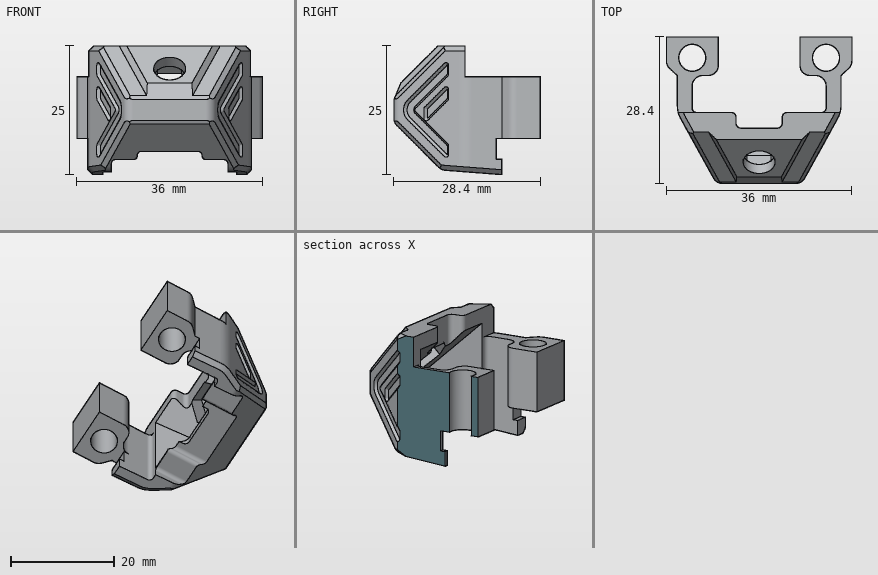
import cadquery as cq
import math


HEIGHT = 25.0
WIDTH = 36.0
DEPTH = 28.4

ARM_OUTER_X = 15.88
ARM_INNER_X = 12.95
ARM_BACK_Y = 19.87
ARM_END_Y = 20.9
BODY_BACK_Y = 13.8
SIDE_ANGLE = 28.9
SIDE_BEND_RADIUS = 5.0
FRONT_CORNER_RADIUS = 2.0
INNER_CORNER_RADIUS = 0.83

UPPER_SLOPE_Z = 15.0
LOWER_SLOPE_Z = 10.1
BOTTOM_TILT = 4.4
BOTTOM_EDGE_RADIUS = 2.0
RIM_CHAMFER = 0.97
SLOPE_EDGE_CHAMFER = 0.72
FRONT_CHAMFER = 0.45

PAD_HEIGHT = 1.0
PAD_FLANK_ANGLE = 45
PAD_TOP_HALF_WIDTH = 9.8

SCREW_HOLE_DIAMETER = 6.2
SCREW_HOLE_DEPTH = 2.5
SCREW_HOLE_Y = 4.15
NUT_ACROSS_FLATS = 8.0

SLOPE_WALL = 4.85
CAVITY_HALF_WIDTH = 11.25
UNDERSIDE_Z = 2.9
UNDERSIDE_STEP_HALF_WIDTH = 6.25
UNDERSIDE_STEP_Z = 4.5
UNDERSIDE_RADIUS = 0.75
BACK_NOTCH_HALF_WIDTH = 4.45
BACK_NOTCH_Y = 10.75
BACK_NOTCH_RADIUS = 0.95

EAR_TOP_Z = 19.0
EAR_BOTTOM_Z = 7.0
EAR_INNER_X = 7.9
EAR_BEND_Y = 22.9
EAR_RADIUS = 2.0
EAR_HOLE_DIAMETER = 5.2
EAR_HOLE_X = 12.95
EAR_HOLE_Y = 24.37
LUG_TOP_Z = 3.02

GROOVE_DEPTH = 0.5
GROOVE_FLARE = 45
GROOVE_BACK_Y = 10.62
GROOVE_END_RADIUS = 0.58
CHEVRON_OUTER_Z = 9.85
CHEVRON_INNER_Z = 6.75
CHEVRON_TIP_RADIUS = 2.5
CHEVRON_INSIDE_RADIUS = 0.35
BAR_TOP_Z = 5.2
BAR_BOTTOM_Z = 2.0
BAR_FRONT_Y = 5.8

TOUCHING = 0.05
SIDES = (-1, 1)
side_cos = math.cos(math.radians(SIDE_ANGLE))
side_sin = math.sin(math.radians(SIDE_ANGLE))
side_tan = side_sin / side_cos
tilt_tan = math.tan(math.radians(BOTTOM_TILT))
mid_z = (UPPER_SLOPE_Z + LOWER_SLOPE_Z) / 2
slope_top_y = HEIGHT - UPPER_SLOPE_Z
side_bend_y = BODY_BACK_Y
front_half_width = ARM_OUTER_X - side_bend_y * side_tan


def nearest(x, y, z):
    """Selector for the edge or vertex closest to a point."""
    return cq.selectors.NearestToPointSelector((x, y, z))


def block(x_range, y_range, z_range):
    """Axis-aligned box from its limits."""
    low, high = zip(x_range, y_range, z_range)
    size = [b - a for a, b in zip(low, high)]
    return cq.Workplane("XY").box(*size, centered=False).translate(low)


def side_prism(points):
    """Prism along X over the full width, from (y, z) points."""
    return cq.Workplane("YZ").polyline(points).close().extrude(WIDTH / 2, both=True)


def mirrored_plan(half_points, height):
    """Prism along Z from the +X half of a symmetric plan, listed front to back."""
    other_half = [(-x, y) for x, y in reversed(half_points)]
    return cq.Workplane("XY").polyline(half_points + other_half).close().extrude(height)


def slope_plane(y, lift):
    """Plane parallel to the upper slope, its local Y pointing up the slope."""
    shift = lift / math.sqrt(2)
    origin = (0, y - shift, UPPER_SLOPE_Z + y + shift)
    return cq.Workplane(cq.Plane(origin=origin, xDir=(1, 0, 0), normal=(0, -1, 1)))


def outer_body():
    """Wedge-fronted block reaching back to the arm ends, with all outer chamfers and rounds."""
    half_plan = [(front_half_width, 0), (ARM_OUTER_X, side_bend_y), (ARM_OUTER_X, ARM_END_Y)]
    plan = mirrored_plan(half_plan, HEIGHT)
    for side in SIDES:
        plan = plan.edges(nearest(side * ARM_OUTER_X, side_bend_y, HEIGHT / 2)).fillet(SIDE_BEND_RADIUS)

    bottom_edge_y = (LOWER_SLOPE_Z - ARM_END_Y * tilt_tan) / (1 - tilt_tan)
    bottom_edge_z = LOWER_SLOPE_Z - bottom_edge_y
    profile = side_prism([
        (ARM_END_Y, HEIGHT),
        (slope_top_y, HEIGHT),
        (0, UPPER_SLOPE_Z),
        (0, LOWER_SLOPE_Z),
        (bottom_edge_y, bottom_edge_z),
        (ARM_END_Y, 0),
    ])

    body = plan.intersect(profile)
    body = body.edges().filter(is_slope_edge).chamfer(SLOPE_EDGE_CHAMFER)
    body = body.edges().filter(is_rim_edge).chamfer(RIM_CHAMFER)
    body = body.edges("|X").edges(nearest(0, bottom_edge_y, bottom_edge_z)).fillet(BOTTOM_EDGE_RADIUS)
    body = body.faces("<Y").edges("|X").chamfer(FRONT_CHAMFER)
    return body.faces("<Y").edges("|Z").fillet(FRONT_CORNER_RADIUS)


def is_rim_edge(edge):
    """True where the side faces meet the top or the underside; leaves out X-way and short corner edges."""
    middle = edge.Center()
    on_top_or_bottom = middle.z > HEIGHT - TOUCHING or middle.z < UNDERSIDE_Z
    shortest_rim = 2.5 * SLOPE_EDGE_CHAMFER
    return on_top_or_bottom and abs(middle.x) > TOUCHING and edge.Length() > shortest_rim


def is_slope_edge(edge):
    """True for the slanted edges between the 45-degree slopes and the side faces."""
    middle = edge.Center()
    upright = abs(edge.tangentAt(0).z) > math.cos(math.radians(BOTTOM_TILT))
    between_ends = TOUCHING < middle.y < slope_top_y and UNDERSIDE_Z < middle.z < HEIGHT - TOUCHING
    return between_ends and abs(middle.x) > TOUCHING and not upright


def pad():
    """Raised trapezoid on the upper slope, cut off below by the front chamfer plane."""
    slope_length = slope_top_y * math.sqrt(2)
    edge_slope = side_tan / math.sqrt(2)
    overrun = 3 * PAD_HEIGHT
    low_half = PAD_TOP_HALF_WIDTH - (slope_length + overrun) * edge_slope
    high_half = PAD_TOP_HALF_WIDTH + overrun * edge_slope
    raised = (
        slope_plane(0, 0)
        .polyline([
            (-low_half, -overrun),
            (low_half, -overrun),
            (high_half, slope_length + overrun),
            (-high_half, slope_length + overrun),
        ])
        .close()
        .extrude(PAD_HEIGHT, taper=PAD_FLANK_ANGLE)
    )
    chamfer_z = UPPER_SLOPE_Z - FRONT_CHAMFER
    chamfer_top_y = (HEIGHT - chamfer_z) * math.tan(math.pi / 8)
    limits = [(0, chamfer_z), (chamfer_top_y, HEIGHT), (BODY_BACK_Y, HEIGHT), (BODY_BACK_Y, chamfer_z)]
    return raised.intersect(side_prism(limits))


def screw_hole():
    """Round hole from the pad face, then a hexagonal trap through to the cavity."""
    rim = slope_plane(SCREW_HOLE_Y + PAD_HEIGHT / math.sqrt(2), PAD_HEIGHT)
    hole = rim.circle(SCREW_HOLE_DIAMETER / 2).extrude(-SCREW_HOLE_DEPTH)
    nut_corners = NUT_ACROSS_FLATS / math.cos(math.pi / 6)
    trap = (
        rim.workplane(offset=-SCREW_HOLE_DEPTH)
        .polygon(6, nut_corners)
        .extrude(SCREW_HOLE_DEPTH - PAD_HEIGHT - SLOPE_WALL)
    )
    return hole.union(trap)


def cavity():
    """V-shaped hollow open to the back, its faces parallel to the slopes and the side faces."""
    apex_y = SLOPE_WALL * math.sqrt(2) - (UPPER_SLOPE_Z - mid_z)
    reach = BODY_BACK_Y - apex_y
    hollow = side_prism([(apex_y, mid_z), (BODY_BACK_Y, mid_z + reach), (BODY_BACK_Y, mid_z - reach)])
    apex_half_width = CAVITY_HALF_WIDTH - reach * side_tan
    return hollow.intersect(
        mirrored_plan([(apex_half_width, apex_y), (CAVITY_HALF_WIDTH, BODY_BACK_Y)], HEIGHT)
    )


def underside_opening():
    """Stepped channel along Y through the bottom of the body."""
    half = [
        (CAVITY_HALF_WIDTH, -HEIGHT),
        (CAVITY_HALF_WIDTH, UNDERSIDE_Z),
        (UNDERSIDE_STEP_HALF_WIDTH, UNDERSIDE_Z),
        (UNDERSIDE_STEP_HALF_WIDTH, UNDERSIDE_STEP_Z),
    ]
    other_half = [(-x, z) for x, z in reversed(half)]
    channel = cq.Workplane("XZ").polyline(half + other_half).close().extrude(-DEPTH)
    corners = channel.edges("|Y").filter(lambda edge: edge.Center().z > 0)
    return corners.fillet(UNDERSIDE_RADIUS)


def back_notch():
    """Upright slot in the back of the body; its outer corners are rounded on the finished body."""
    notch = block(
        (-BACK_NOTCH_HALF_WIDTH, BACK_NOTCH_HALF_WIDTH), (BACK_NOTCH_Y, BODY_BACK_Y), (0, HEIGHT)
    )
    return notch.edges("|Z and <Y").fillet(BACK_NOTCH_RADIUS)


def arm_clearances():
    """Space between the arms, above them, and between each ear and the lug below it."""
    between = block((-ARM_INNER_X, ARM_INNER_X), (BODY_BACK_Y, DEPTH), (0, HEIGHT))
    between = between.edges("|Z and <Y").fillet(INNER_CORNER_RADIUS)
    above = block((-WIDTH, WIDTH), (BODY_BACK_Y, DEPTH), (EAR_TOP_Z, HEIGHT))
    below_ears = block((-WIDTH, WIDTH), (ARM_BACK_Y, DEPTH), (LUG_TOP_Z, EAR_BOTTOM_Z))
    return between.union(above).union(below_ears)


def ear():
    """Bored ear on the +X arm, blended into the arm's inner face."""
    root_y = ARM_END_Y - 2 * EAR_RADIUS
    outline = [
        (WIDTH / 2, DEPTH),
        (WIDTH / 2, EAR_BEND_Y),
        (ARM_OUTER_X, ARM_END_Y),
        (ARM_OUTER_X, root_y),
        (ARM_INNER_X, root_y),
        (ARM_INNER_X, ARM_END_Y),
        (EAR_INNER_X, ARM_END_Y),
        (EAR_INNER_X, DEPTH),
    ]
    rounded = [(WIDTH / 2, EAR_BEND_Y), (ARM_INNER_X, ARM_END_Y), (EAR_INNER_X, ARM_END_Y)]
    solid = cq.Workplane("XY").polyline(outline).close().extrude(EAR_TOP_Z - EAR_BOTTOM_Z)
    solid = solid.translate((0, 0, EAR_BOTTOM_Z))
    for x, y in rounded:
        solid = solid.edges(nearest(x, y, (EAR_TOP_Z + EAR_BOTTOM_Z) / 2)).fillet(EAR_RADIUS)
    bore = cq.Workplane("XY").center(EAR_HOLE_X, EAR_HOLE_Y).circle(EAR_HOLE_DIAMETER / 2).extrude(HEIGHT)
    return solid.cut(bore)


def rounded_polygon(points, radii):
    """Closed sketch outline with its own fillet radius at every corner."""
    sketch = cq.Sketch().polygon(points + points[:1])
    for point, radius in zip(points, radii):
        sketch = sketch.vertices(nearest(*point, 0)).fillet(radius).reset()
    return sketch


def side_grooves():
    """Chevron and short bar sunk into the -X side face."""
    back_x = -ARM_OUTER_X + (side_bend_y - GROOVE_BACK_Y) * side_tan
    face = cq.Plane(
        origin=(back_x, GROOVE_BACK_Y, mid_z),
        xDir=(side_sin, -side_cos, 0),
        normal=(-side_cos, -side_sin, 0),
    )
    outer_tip = CHEVRON_OUTER_Z / side_cos
    inner_tip = CHEVRON_INNER_Z / side_cos
    chevron = rounded_polygon(
        [
            (0, CHEVRON_OUTER_Z),
            (outer_tip, 0),
            (0, -CHEVRON_OUTER_Z),
            (0, -CHEVRON_INNER_Z),
            (inner_tip, 0),
            (0, CHEVRON_INNER_Z),
        ],
        [
            GROOVE_END_RADIUS,
            CHEVRON_TIP_RADIUS,
            GROOVE_END_RADIUS,
            GROOVE_END_RADIUS,
            CHEVRON_INSIDE_RADIUS,
            GROOVE_END_RADIUS,
        ],
    )
    bar_drop = GROOVE_BACK_Y - BAR_FRONT_Y
    bar_length = bar_drop / side_cos
    bar = rounded_polygon(
        [
            (0, BAR_TOP_Z),
            (bar_length, BAR_TOP_Z - bar_drop),
            (bar_length, BAR_BOTTOM_Z - bar_drop),
            (0, BAR_BOTTOM_Z),
        ],
        [GROOVE_END_RADIUS] * 4,
    )
    grooves = []
    for outline in (chevron, bar):
        groove = cq.Workplane(face).placeSketch(outline).extrude(-GROOVE_DEPTH, taper=GROOVE_FLARE)
        grooves.append(groove)
    return grooves


result = outer_body().union(pad())
for opening in (cavity(), screw_hole(), underside_opening(), back_notch(), arm_clearances()):
    result = result.cut(opening)
for side in SIDES:
    notch_corner = nearest(side * BACK_NOTCH_HALF_WIDTH, BODY_BACK_Y, HEIGHT - BACK_NOTCH_RADIUS)
    result = result.edges("|Z").edges(notch_corner).fillet(BACK_NOTCH_RADIUS)
for groove in side_grooves():
    result = result.cut(groove).cut(groove.mirror("YZ"))
right_ear = ear()
result = result.union(right_ear).union(right_ear.mirror("YZ"))